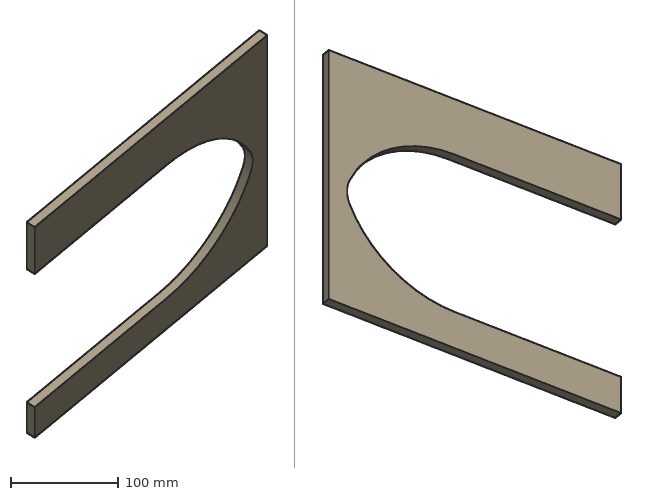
import cadquery as cq
import math

thickness = 10.0
length = 330.0
height = 283.0

lower_leg = 41.2
slot_width = 179.0
slot_depth = 309.2
arch_radius = 130.0
nose_radius = 33.0

slot_bottom = lower_leg
slot_top = slot_bottom + slot_width
slot_middle = slot_bottom + slot_width / 2
tip_y = slot_depth

nose_center_y = tip_y - nose_radius
center_offset_z = arch_radius - slot_width / 2
center_distance = arch_radius - nose_radius
arch_start_y = nose_center_y - math.sqrt(center_distance**2 - center_offset_z**2)


def arch_point(angle, side):
    """Point on an arch arc at an angle from +Y; side is 1 for upper, -1 for lower."""
    y = arch_start_y + arch_radius * math.cos(angle)
    rise = arch_radius * math.sin(angle) - center_offset_z
    return y, slot_middle + side * rise


nose_angle = math.asin(center_offset_z / center_distance)
middle_angle = (nose_angle + math.pi / 2) / 2

plate = cq.Workplane("YZ").rect(length, height, centered=False).extrude(thickness)

slot = (
    cq.Workplane("YZ")
    .moveTo(0, slot_bottom)
    .lineTo(arch_start_y, slot_bottom)
    .threePointArc(arch_point(middle_angle, -1), arch_point(nose_angle, -1))
    .threePointArc((tip_y, slot_middle), arch_point(nose_angle, 1))
    .threePointArc(arch_point(middle_angle, 1), (arch_start_y, slot_top))
    .lineTo(0, slot_top)
    .close()
    .extrude(thickness)
)

result = plate.cut(slot)